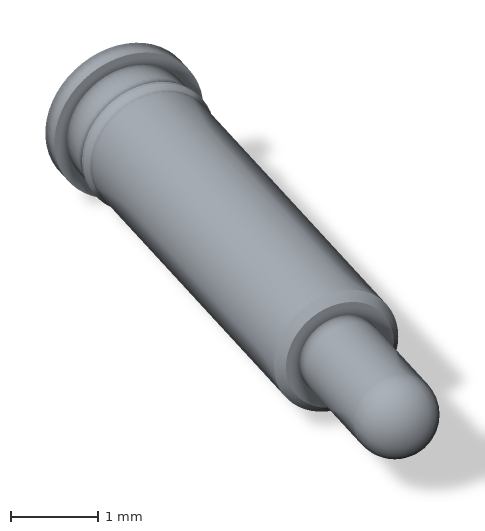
import cadquery as cq

total_length = 8.0
head_radius = 1.88 / 2
head_thickness = 0.25

barrel_radius = 1.57 / 2
barrel_end = 5.99
barrel_chamfer = 0.1

ring_radius = 1.65 / 2
ring_start = 0.75
ring_land = 0.05
ring_taper = 0.1

plunger_radius = 1.02 / 2


def x_cylinder(start, end, radius):
    """Solid cylinder along X between two stations."""
    return cq.Workplane("YZ", origin=(start, 0, 0)).circle(radius).extrude(end - start)


def make_barrel():
    barrel = x_cylinder(0, barrel_end, barrel_radius)
    return barrel.faces(">X").chamfer(barrel_chamfer)


def make_ring():
    land_end = ring_start + ring_land
    profile = (
        cq.Workplane("XY")
        .moveTo(ring_start, 0)
        .lineTo(ring_start, ring_radius)
        .lineTo(land_end, ring_radius)
        .lineTo(land_end + ring_taper, barrel_radius)
        .lineTo(land_end + ring_taper, 0)
        .close()
    )
    return profile.revolve(360, (0, 0, 0), (1, 0, 0))


def make_plunger():
    """Plunger with a hemispherical tip."""
    tip_center = total_length - plunger_radius
    shaft = x_cylinder(0, tip_center, plunger_radius)
    tip = cq.Workplane("XY", origin=(tip_center, 0, 0)).sphere(plunger_radius)
    return shaft.union(tip)


head = x_cylinder(0, head_thickness, head_radius)
result = head.union(make_barrel()).union(make_ring()).union(make_plunger())